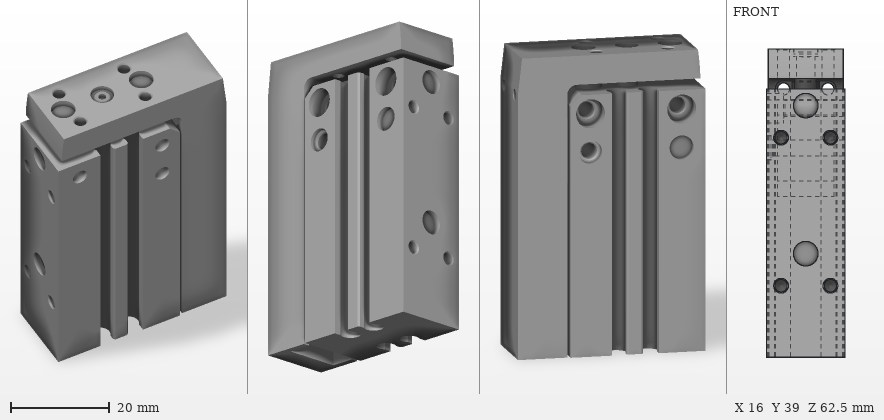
import cadquery as cq
import math


HOUSING_WIDTH = 16.0
HOUSING_DEPTH = 28.1
HOUSING_HEIGHT = 54.4
BACK_BEVEL_DEPTH = 2.4
BACK_BEVEL_HEIGHT = 2.2

SLOT_DIAMETER = 4.0
SLOT_MOUTH = 3.2
SLOT_INSET = 2.9
SLOT_SPACING = 6.6
SLOT_MIDDLE_Y = 14.6
RIB_RECESS = 0.2
RIB_CHAMFER = 0.4

AXIS_Y = 14.5
ROD_DIAMETER = 4.6
ROD_END_DIAMETER = 3.8
ROD_TIP_DIAMETER = 3.0
ROD_TIP_CONE = 0.4
ROD_SOCKET_DIAMETER = 1.55
ROD_SOCKET_DEPTH = 1.0
ROD_SEAT_BORE = 4.8
ROD_SEAT_DEPTH = 1.0
BUMPER_Y = 22.5
BUMPER_DIAMETER = 5.5
BUMPER_TOP = 55.8
BUMPER_PIN_DIAMETER = 2.0

TABLE_WIDTH = 15.25
TABLE_HEIGHT = 62.5
TABLE_BACK = 39.0
PLATE_FRONT = 28.75
ARM_BOTTOM = 56.5
NOSE_FRONT = 1.0
NOSE_TOP_Y = 1.5
NOSE_CURVE_START = 57.0
NOSE_RADIUS = 50.0
BACK_TAPER = 0.8
BACK_TAPER_START = 55.3
INNER_FILLET = 2.0

CHANNEL_WIDTH = 12.25
CHANNEL_TOP = 56.0
CHANNEL_FLOOR = 34.0
CHANNEL_CORNER = 1.5
BLOCK_WIDTH = 11.5
BLOCK_TOP = 49.1
BLOCK_BOTTOM = 35.75
BLOCK_CAP_LENGTH = 3.1
BLOCK_CAP_GAP = 0.25

TAP_DIAMETER = 2.5
TAP_MOUTH = 3.0
TAP_DEPTH = 5.0
DOWEL_DIAMETER = 5.0
DOWEL_DEPTH = 1.5
TIP_ANGLE = 118.0
FRONT_TAP_X = 5.0
FRONT_TAP_ZS = (14.5, 44.5)
FRONT_DOWEL_ZS = (21.0, 51.0)
TABLE_TAP_X = 4.5
TABLE_TAP_REACH = 7.5
TABLE_DOWEL_REACH = 9.0
PLATE_HOLE_DIAMETER = 2.45
PLATE_HOLE_Z = 54.4
SIDE_HOLE_DIAMETER = 3.25
SIDE_HOLE_MOUTH = 3.8
SIDE_FRONT_Y = 5.0
SIDE_BACK_Y = 24.0
MOUNT_Z = 50.45
MOUNT_BORE_DIAMETER = 6.0
MOUNT_BORE_DEPTH = 3.5
PORT_Z = 42.45
PORT_BORE_DIAMETER = 4.8
PORT_BORE_DEPTH = 1.0

HALF_WIDTH = HOUSING_WIDTH / 2
INTO_X = cq.Vector(1, 0, 0)
INTO_Y = cq.Vector(0, 1, 0)
DOWN = cq.Vector(0, 0, -1)
UP = cq.Vector(0, 0, 1)


def rod_shape(diameter, depth, start, direction):
    """Cylinder that starts at a point and runs along a direction."""
    return cq.Solid.makeCylinder(diameter / 2, depth, cq.Vector(*start), direction)


def cone_shape(start_diameter, end_diameter, length, start, direction):
    """Cone frustum that starts at a point and runs along a direction."""
    return cq.Solid.makeCone(start_diameter / 2, end_diameter / 2, length, cq.Vector(*start), direction)


def mouth_chamfer(mouth, diameter, start, direction):
    """45 degree countersink from a wide mouth to a hole."""
    return cone_shape(mouth, diameter, (mouth - diameter) / 2, start, direction)


def box_between(x_range, y_range, z_range):
    size = [high - low for low, high in (x_range, y_range, z_range)]
    return cq.Workplane("XY").box(*size, centered=False).translate((x_range[0], y_range[0], z_range[0]))


def blind_tap(x, z):
    """Drilled front hole with a countersunk mouth and a conical bottom."""
    tip_length = TAP_DIAMETER / 2 / math.tan(math.radians(TIP_ANGLE / 2))
    hole = cq.Workplane(rod_shape(TAP_DIAMETER, TAP_DEPTH, (x, 0, z), INTO_Y))
    hole = hole.union(cone_shape(TAP_DIAMETER, 0, tip_length, (x, TAP_DEPTH, z), INTO_Y))
    return hole.union(mouth_chamfer(TAP_MOUTH, TAP_DIAMETER, (x, 0, z), INTO_Y))


def side_hole(y, z, bore_diameter, bore_depth):
    """Hole through the width, with a counterbore and a chamfered step on the left."""
    floor = (bore_depth - HALF_WIDTH, y, z)
    hole = cq.Workplane(rod_shape(SIDE_HOLE_DIAMETER, HOUSING_WIDTH, (-HALF_WIDTH, y, z), INTO_X))
    hole = hole.union(rod_shape(bore_diameter, bore_depth, (-HALF_WIDTH, y, z), INTO_X))
    return hole.union(mouth_chamfer(SIDE_HOLE_MOUTH, SIDE_HOLE_DIAMETER, floor, INTO_X))


def sensor_slot(side, y):
    """Full-height slot; side is -1 for the left face and +1 for the right face."""
    axis_x = side * (HALF_WIDTH - SLOT_INSET)
    channel = cq.Workplane("XY").center(axis_x, y).circle(SLOT_DIAMETER / 2).extrude(HOUSING_HEIGHT)
    mouth_x = sorted((axis_x, side * HALF_WIDTH))
    mouth = box_between(mouth_x, (y - SLOT_MOUTH / 2, y + SLOT_MOUTH / 2), (0, HOUSING_HEIGHT))
    return channel.union(mouth)


def rib_trim(side):
    """Strip that lowers the rib between two slots and bevels its corners."""
    half_rib = (SLOT_SPACING - SLOT_MOUTH) / 2
    face_x = side * HALF_WIDTH
    rib_x = side * (HALF_WIDTH - RIB_RECESS)
    bevel_x = side * (HALF_WIDTH - RIB_RECESS - RIB_CHAMFER)
    half_face = half_rib - RIB_CHAMFER
    outline = [
        (face_x, half_rib),
        (bevel_x, half_rib),
        (rib_x, half_face),
        (rib_x, -half_face),
        (bevel_x, -half_rib),
        (face_x, -half_rib),
    ]
    strip = cq.Workplane("XY").polyline(outline).close().extrude(HOUSING_HEIGHT)
    return strip.translate((0, SLOT_MIDDLE_Y, 0))


def housing_block():
    outline = [
        (0, 0),
        (HOUSING_DEPTH, 0),
        (HOUSING_DEPTH, HOUSING_HEIGHT - BACK_BEVEL_HEIGHT),
        (HOUSING_DEPTH - BACK_BEVEL_DEPTH, HOUSING_HEIGHT),
        (0, HOUSING_HEIGHT),
    ]
    return cq.Workplane("YZ").polyline(outline).close().extrude(HALF_WIDTH, both=True)


def guide_block():
    """Block on the housing back, with an end cap above and below that clears the housing."""
    half_block = BLOCK_WIDTH / 2
    block_x = (-half_block, half_block)
    block = box_between(block_x, (HOUSING_DEPTH, CHANNEL_FLOOR), (BLOCK_BOTTOM, BLOCK_TOP))
    caps_y = (HOUSING_DEPTH + BLOCK_CAP_GAP, CHANNEL_FLOOR)
    caps_z = (BLOCK_BOTTOM - BLOCK_CAP_LENGTH, BLOCK_TOP + BLOCK_CAP_LENGTH)
    return block.union(box_between(block_x, caps_y, caps_z))


def piston_rod():
    """Rod with a shoulder under the table arm and a coned, socketed end inside it."""
    shoulder = (0, AXIS_Y, ARM_BOTTOM)
    cone_base = TABLE_HEIGHT - ROD_SEAT_DEPTH
    top = (0, AXIS_Y, cone_base + ROD_TIP_CONE)
    rod = cq.Workplane(rod_shape(ROD_DIAMETER, ARM_BOTTOM - HOUSING_HEIGHT, (0, AXIS_Y, HOUSING_HEIGHT), UP))
    rod = rod.union(rod_shape(ROD_END_DIAMETER, cone_base - ARM_BOTTOM, shoulder, UP))
    rod = rod.union(cone_shape(ROD_END_DIAMETER, ROD_TIP_DIAMETER, ROD_TIP_CONE, (0, AXIS_Y, cone_base), UP))
    return rod.cut(cq.Workplane(rod_shape(ROD_SOCKET_DIAMETER, ROD_SOCKET_DEPTH, top, DOWN)))


def bumper():
    """Stop bumper with a thin pin that reaches the table arm."""
    base = (0, BUMPER_Y, HOUSING_HEIGHT)
    stop = cq.Workplane(rod_shape(BUMPER_DIAMETER, BUMPER_TOP - HOUSING_HEIGHT, base, UP))
    return stop.union(rod_shape(BUMPER_PIN_DIAMETER, ARM_BOTTOM - HOUSING_HEIGHT, base, UP))


def make_housing():
    body = housing_block()
    for side in (-1, 1):
        for offset in (-SLOT_SPACING / 2, SLOT_SPACING / 2):
            body = body.cut(sensor_slot(side, SLOT_MIDDLE_Y + offset))
        body = body.cut(rib_trim(side))
    for z in FRONT_TAP_ZS:
        for x in (-FRONT_TAP_X, FRONT_TAP_X):
            body = body.cut(blind_tap(x, z))
    for z in FRONT_DOWEL_ZS:
        body = body.cut(cq.Workplane(rod_shape(DOWEL_DIAMETER, DOWEL_DEPTH, (0, 0, z), INTO_Y)))
    for y in (SIDE_FRONT_Y, SIDE_BACK_Y):
        body = body.cut(side_hole(y, MOUNT_Z, MOUNT_BORE_DIAMETER, MOUNT_BORE_DEPTH))
    body = body.cut(side_hole(SIDE_BACK_Y, PORT_Z, PORT_BORE_DIAMETER, PORT_BORE_DEPTH))
    side_dowel = rod_shape(DOWEL_DIAMETER, DOWEL_DEPTH, (-HALF_WIDTH, SIDE_FRONT_Y, PORT_Z), INTO_X)
    body = body.cut(cq.Workplane(side_dowel))
    return body.union(guide_block()).union(piston_rod()).union(bumper())


def table_blank():
    """Arm over the housing and plate behind it, with a curved nose and a leaning back."""
    profile = (
        cq.Workplane("YZ")
        .moveTo(NOSE_FRONT, ARM_BOTTOM)
        .lineTo(NOSE_FRONT, NOSE_CURVE_START)
        .radiusArc((NOSE_TOP_Y, TABLE_HEIGHT), NOSE_RADIUS)
        .lineTo(TABLE_BACK - BACK_TAPER, TABLE_HEIGHT)
        .lineTo(TABLE_BACK, BACK_TAPER_START)
        .lineTo(TABLE_BACK, 0)
        .lineTo(PLATE_FRONT, 0)
        .lineTo(PLATE_FRONT, ARM_BOTTOM - INNER_FILLET)
        .radiusArc((PLATE_FRONT - INNER_FILLET, ARM_BOTTOM), -INNER_FILLET)
        .close()
    )
    return profile.extrude(TABLE_WIDTH / 2, both=True)


def guide_channel():
    """Channel up the front of the plate, open at the bottom, with round top corners."""
    half_channel = CHANNEL_WIDTH / 2
    channel_y = (PLATE_FRONT - INNER_FILLET, CHANNEL_FLOOR)
    channel = box_between((-half_channel, half_channel), channel_y, (0, CHANNEL_TOP))
    return channel.edges("|Y and >Z").fillet(CHANNEL_CORNER)


def arm_tap(x, y):
    """Hole down through the arm with a countersunk mouth."""
    top = (x, y, TABLE_HEIGHT)
    hole = cq.Workplane(rod_shape(TAP_DIAMETER, TABLE_HEIGHT - ARM_BOTTOM, top, DOWN))
    return hole.union(mouth_chamfer(TAP_MOUTH, TAP_DIAMETER, top, DOWN))


def plate_hole(x):
    """Hole through the plate, just below a top corner of the channel."""
    start = (x, CHANNEL_FLOOR, PLATE_HOLE_Z)
    return cq.Workplane(rod_shape(PLATE_HOLE_DIAMETER, TABLE_BACK - CHANNEL_FLOOR, start, INTO_Y))


def rod_seat():
    """Hole for the rod end, counterbored at the top of the arm."""
    top = (0, AXIS_Y, TABLE_HEIGHT)
    hole = cq.Workplane(rod_shape(ROD_END_DIAMETER, TABLE_HEIGHT - ARM_BOTTOM, top, DOWN))
    return hole.union(rod_shape(ROD_SEAT_BORE, ROD_SEAT_DEPTH, top, DOWN))


def make_table():
    body = table_blank().cut(guide_channel()).cut(rod_seat())
    for side in (-1, 1):
        body = body.cut(plate_hole(side * TABLE_TAP_X))
        for end in (-1, 1):
            body = body.cut(arm_tap(side * TABLE_TAP_X, AXIS_Y + end * TABLE_TAP_REACH))
    for end in (-1, 1):
        dowel_top = (0, AXIS_Y + end * TABLE_DOWEL_REACH, TABLE_HEIGHT)
        body = body.cut(cq.Workplane(rod_shape(DOWEL_DIAMETER, DOWEL_DEPTH, dowel_top, DOWN)))
    return body


housing = make_housing()
table = make_table()

result = cq.Compound.makeCompound([housing.solids().val(), table.solids().val()])